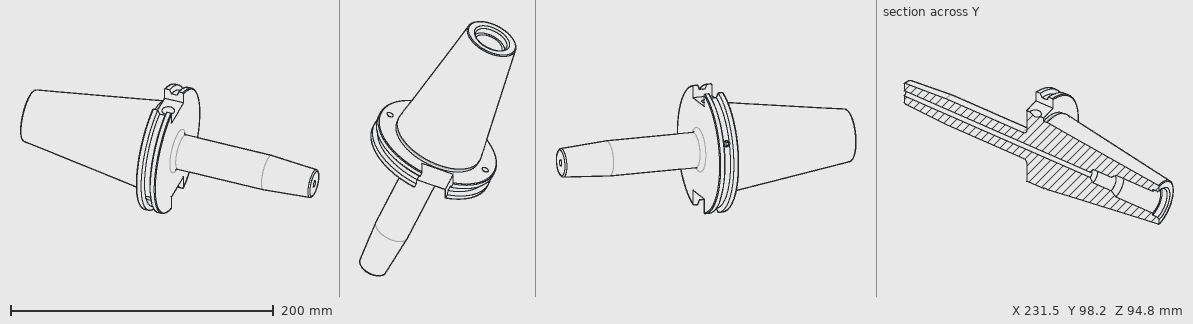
import cadquery as cq
import math

total_length = 231.5
gauge_x = 101.7
collar_x = 102.8
flange_start = 105.0
flange_width = 15.5
flange_end = flange_start + flange_width
nose_start = 193.6

gauge_radius = 35.0
taper_ratio = 7 / 48
taper_small_radius = gauge_radius - gauge_x * taper_ratio
taper_edge_chamfer = 0.7
collar_radius = 69.2 / 2
flange_radius = 98.2 / 2
flange_chamfer = 0.7
shank_radius = 27.0 / 2
shank_fillet = 3.5
nose_radius = 22.0 / 2
nose_chamfer = 1.2

groove_center_x = 112.8
groove_top_width = 7.5
groove_bottom_width = 4.5
groove_depth = 3.5

slot_width = 25.7
upper_slot_floor = 37.8
lower_slot_floor = 35.5
dimple_diameter = 9.5
drill_half_angle = math.radians(59)

bore_mouth_radius = 29.2 / 2
counterbore_radius = 26.2 / 2
counterbore_depth = 6.0
thread_bore_radius = 22.0 / 2
thread_bore_depth = 39.4
pilot_bore_radius = 13.5 / 2
pilot_bore_depth = 60.2
coolant_radius = 4.9 / 2

outlet_circle_radius = 42.0
outlet_angle = 20.0
outlet_diameter = 5.0
outlet_depth = 3.5
feed_diameter = 3.2
feed_offset = 0.7
feed_depth = groove_center_x - flange_start
cross_hole_diameter = 4.9
cross_hole_depth = 9.3


def make_body():
    """Revolved taper, collar, flange, shank and nose."""
    profile = (
        cq.Workplane("XY")
        .moveTo(0, 0)
        .lineTo(0, taper_small_radius - taper_edge_chamfer)
        .lineTo(taper_edge_chamfer, taper_small_radius + taper_edge_chamfer * taper_ratio)
        .lineTo(gauge_x, gauge_radius)
        .lineTo(collar_x, collar_radius)
        .lineTo(flange_start, collar_radius)
        .lineTo(flange_start, flange_radius - flange_chamfer)
        .lineTo(flange_start + flange_chamfer, flange_radius)
        .lineTo(groove_center_x - groove_top_width / 2, flange_radius)
        .lineTo(groove_center_x - groove_bottom_width / 2, flange_radius - groove_depth)
        .lineTo(groove_center_x + groove_bottom_width / 2, flange_radius - groove_depth)
        .lineTo(groove_center_x + groove_top_width / 2, flange_radius)
        .lineTo(flange_end - flange_chamfer, flange_radius)
        .lineTo(flange_end, flange_radius - flange_chamfer)
        .lineTo(flange_end, shank_radius + shank_fillet)
        .radiusArc((flange_end + shank_fillet, shank_radius), -shank_fillet)
        .lineTo(nose_start, shank_radius)
        .lineTo(total_length - nose_chamfer, nose_radius)
        .lineTo(total_length, nose_radius - nose_chamfer)
        .lineTo(total_length, 0)
        .close()
    )
    return profile.revolve(360, (0, 0, 0), (1, 0, 0))


def make_bore():
    """Revolved cutter for the chamfered, stepped bore and the coolant channel."""
    mouth_depth = bore_mouth_radius - counterbore_radius
    thread_cone = thread_bore_radius - pilot_bore_radius
    pilot_cone = (pilot_bore_radius - coolant_radius) / math.tan(drill_half_angle)
    profile = (
        cq.Workplane("XY")
        .moveTo(0, 0)
        .lineTo(0, bore_mouth_radius)
        .lineTo(mouth_depth, counterbore_radius)
        .lineTo(counterbore_depth, counterbore_radius)
        .lineTo(counterbore_depth, thread_bore_radius)
        .lineTo(thread_bore_depth, thread_bore_radius)
        .lineTo(thread_bore_depth + thread_cone, pilot_bore_radius)
        .lineTo(pilot_bore_depth, pilot_bore_radius)
        .lineTo(pilot_bore_depth + pilot_cone, coolant_radius)
        .lineTo(total_length, coolant_radius)
        .lineTo(total_length, 0)
        .close()
    )
    return profile.revolve(360, (0, 0, 0), (1, 0, 0))


def make_slot(floor_z, side):
    """Drive slot cutter above (side=1) or below (side=-1) the axis."""
    height = flange_radius - floor_z
    center = (flange_start + flange_width / 2, 0, side * (floor_z + height / 2))
    return cq.Workplane("XY").box(flange_width, slot_width, height).translate(center)


def make_dimple():
    """Conical drill-point dimple in the upper slot floor."""
    radius = dimple_diameter / 2
    depth = radius / math.tan(drill_half_angle)
    cone = cq.Solid.makeCone(
        radius, 0, depth, cq.Vector(groove_center_x, 0, upper_slot_floor), cq.Vector(0, 0, -1)
    )
    return cq.Workplane(cone)


def make_outlet(angle):
    """Axial outlet in the flange face, its feed hole and the radial hole from the groove."""
    direction = cq.Vector(0, math.cos(math.radians(angle)), math.sin(math.radians(angle)))
    axial = cq.Solid.makeCylinder(
        outlet_diameter / 2,
        outlet_depth,
        direction * outlet_circle_radius + cq.Vector(flange_start, 0, 0),
        cq.Vector(1, 0, 0),
    )
    feed = cq.Solid.makeCylinder(
        feed_diameter / 2,
        feed_depth,
        direction * (outlet_circle_radius - feed_offset) + cq.Vector(flange_start, 0, 0),
        cq.Vector(1, 0, 0),
    )
    radial = cq.Solid.makeCylinder(
        cross_hole_diameter / 2,
        cross_hole_depth,
        direction * flange_radius + cq.Vector(groove_center_x, 0, 0),
        direction * -1,
    )
    return cq.Workplane(axial).union(cq.Workplane(feed)).union(cq.Workplane(radial))


result = make_body().cut(make_bore())
result = result.cut(make_slot(upper_slot_floor, 1)).cut(make_slot(lower_slot_floor, -1))
result = result.cut(make_dimple())
for side_angle in (outlet_angle, outlet_angle + 180):
    result = result.cut(make_outlet(side_angle))